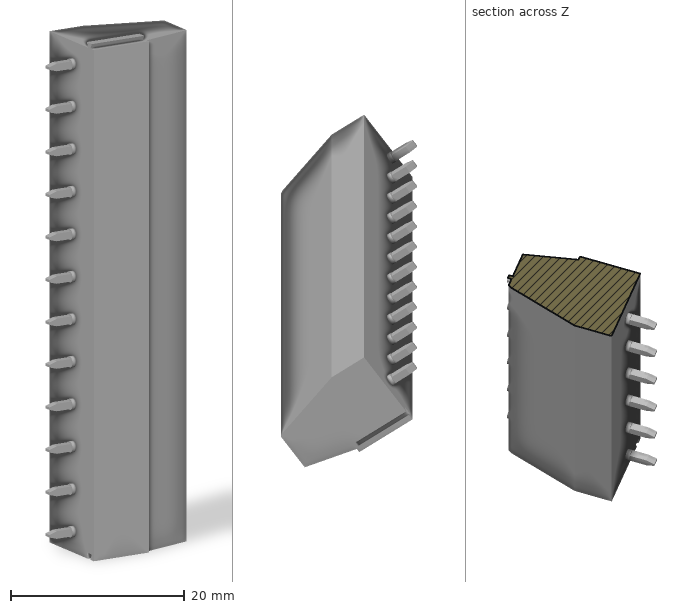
import cadquery as cq

overall_depth = 17.7
overall_height = 61.7

pin_count = 12
pitch = 5.08
end_margin = 0.14
body_height = pin_count * pitch + end_margin
body_width = 9.8
body_depth = 13.75
left_wall_depth = 4.55
back_left_x = 3.0
back_right_x = 7.85
back_chamfer_x = 0.25
back_chamfer_y = 0.4
ledge_depth = 7.45
ledge_width = 0.5

dovetail_x = 8.8
dovetail_wide = 1.1
dovetail_neck = 0.55
dovetail_length = 7.1
rail_height = overall_height - body_height
groove_clearance = 0.1

pin_x = 5.25
first_pin_z = pitch / 2
collar_diameter = 1.3
collar_length = 0.5
pin_thickness = 0.9
pin_length = 3.5
pin_taper_length = 1.0
pin_tip_thickness = 0.3

stud_x = 4.2
stud_diameter = 0.9
stud_length = overall_depth - pin_length - body_depth

overlap = 0.2


def make_body():
    outline = [
        (0, 0),
        (body_width, 0),
        (body_width, ledge_depth),
        (body_width - ledge_width, ledge_depth),
        (back_right_x, body_depth),
        (back_left_x, body_depth),
        (back_left_x - back_chamfer_x, body_depth - back_chamfer_y),
        (0, left_wall_depth),
    ]
    return cq.Workplane("XY").polyline(outline).close().extrude(body_height)


def make_dovetail(base_z, height):
    """Dovetail bar along Y, narrow at base_z and wide at base_z + height."""
    section = [
        (dovetail_x - dovetail_neck / 2, base_z),
        (dovetail_x + dovetail_neck / 2, base_z),
        (dovetail_x + dovetail_wide / 2, base_z + height),
        (dovetail_x - dovetail_wide / 2, base_z + height),
    ]
    return cq.Workplane("XZ").polyline(section).close().extrude(-dovetail_length)


def make_pin(z):
    """Round collar with a square pin whose end tapers in Z."""
    collar = (
        cq.Workplane("XZ", origin=(pin_x, overlap, z))
        .circle(collar_diameter / 2)
        .extrude(overlap + collar_length)
    )
    half = pin_thickness / 2
    half_tip = pin_tip_thickness / 2
    taper_start_y = pin_taper_length - pin_length
    profile = [
        (overlap, -half),
        (taper_start_y, -half),
        (-pin_length, -half_tip),
        (-pin_length, half_tip),
        (taper_start_y, half),
        (overlap, half),
    ]
    shank = (
        cq.Workplane("YZ", origin=(pin_x, 0, z))
        .polyline(profile)
        .close()
        .extrude(half, both=True)
    )
    return collar.union(shank)


def make_stud(z):
    return (
        cq.Workplane("XZ", origin=(stud_x, body_depth - overlap, z))
        .circle(stud_diameter / 2)
        .extrude(-(overlap + stud_length))
    )


result = make_body()
result = result.union(make_dovetail(body_height, rail_height))
result = result.cut(make_dovetail(0, rail_height + groove_clearance))

for index in range(pin_count):
    result = result.union(make_pin(first_pin_z + index * pitch))

for index in range(pin_count - 1):
    result = result.union(make_stud(first_pin_z + (index + 0.5) * pitch))